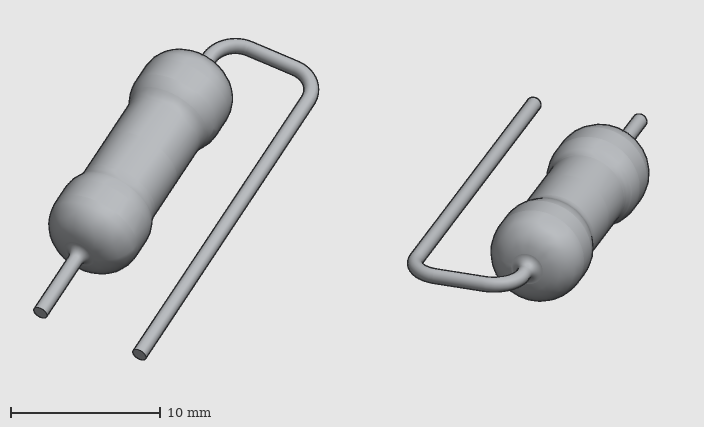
import cadquery as cq

total_length = 26.6
lead_diameter = 1.0
lead_pitch = 7.5
bend_radius = 2.02

cap_diameter = 6.5
waist_diameter = 5.53
body_length = 17.55
body_center_y = 14.35
dome_height = 2.31
cap_band_length = 1.5
taper_length = 1.9
flare_radius = 0.6

lead_radius = lead_diameter / 2
cap_radius = cap_diameter / 2
waist_radius = waist_diameter / 2


def make_half_body():
    """Revolve one half of the body, from its middle to the lead flare at +Y."""
    body_end = body_length / 2
    dome_start = body_end - dome_height
    taper_end = dome_start - cap_band_length
    taper_start = taper_end - taper_length
    taper_middle = (taper_start + taper_end) / 2
    middle_radius = (waist_radius + cap_radius) / 2
    flare_outer_radius = lead_radius + flare_radius

    profile = (
        cq.Workplane("XY")
        .lineTo(waist_radius, 0)
        .lineTo(waist_radius, taper_start)
        .tangentArcPoint((middle_radius, taper_middle), relative=False)
        .tangentArcPoint((cap_radius, taper_end), relative=False)
        .lineTo(cap_radius, dome_start)
        .tangentArcPoint((flare_outer_radius, body_end), relative=False)
        .radiusArc((lead_radius, body_end + flare_radius), flare_radius)
        .lineTo(0, body_end + flare_radius)
        .close()
    )
    return profile.revolve(360, (0, 0, 0), (0, 1, 0))


def make_body():
    """Join two mirrored halves into the full body."""
    half = make_half_body()
    body = half.union(half.mirror("XZ"))
    return body.translate((0, body_center_y, 0))


def make_lead():
    """Sweep one wire through the body, over two bends and back down to Y = 0."""
    crossbar_y = total_length - lead_radius
    bend_start_y = crossbar_y - bend_radius
    path = (
        cq.Workplane("XY")
        .lineTo(0, bend_start_y)
        .tangentArcPoint((bend_radius, crossbar_y), relative=False)
        .lineTo(lead_pitch - bend_radius, crossbar_y)
        .tangentArcPoint((lead_pitch, bend_start_y), relative=False)
        .lineTo(lead_pitch, 0)
    )
    return cq.Workplane("XZ").circle(lead_radius).sweep(path)


result = make_body().union(make_lead())